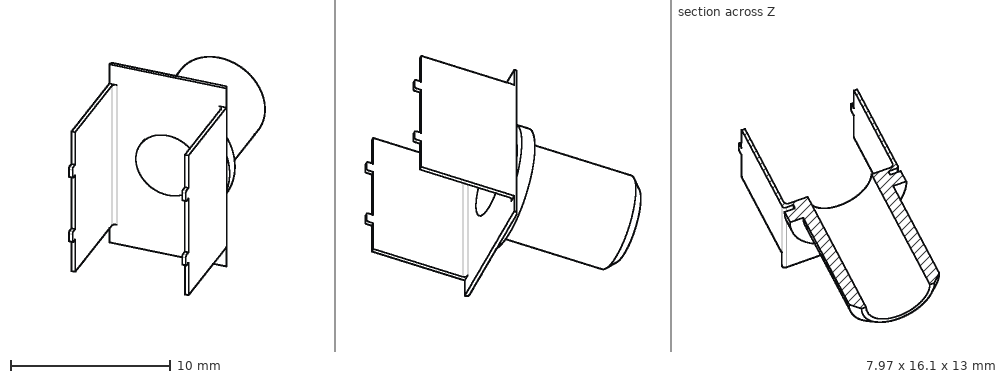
import cadquery as cq

bore_diameter = 4.34
barrel_diameter = 6.18
barrel_length = 7.87
tip_chamfer = 0.6
flange_diameter = 7.97
flange_thickness = 0.9
neck_diameter = 6.53
neck_length = 0.25

sheet_thickness = 0.25
bracket_width = 7.92
plate_height = 13.0
leg_height = 10.2
leg_length = 6.35
outer_bend_radius = 0.2
inner_bend_radius = 0.25

tab_height = 0.77
tab_length = 0.45
tab_corner_radius = 0.13
tab_spacing = 4.7

half_width = bracket_width / 2


def cylinder_along_y(diameter, start_y, length):
    """Cylinder on the part axis, running from start_y towards +Y."""
    profile = cq.Workplane("XZ", origin=(0, start_y, 0)).circle(diameter / 2)
    return profile.extrude(-length)


def make_body():
    """Neck, flange and barrel with a chamfered tip."""
    flange_start = sheet_thickness + neck_length
    barrel_start = flange_start + flange_thickness
    neck = cylinder_along_y(neck_diameter, sheet_thickness, neck_length)
    flange = cylinder_along_y(flange_diameter, flange_start, flange_thickness)
    barrel = cylinder_along_y(barrel_diameter, barrel_start, barrel_length)
    barrel = barrel.faces(">Y").chamfer(tip_chamfer)
    return neck.union(flange).union(barrel)


def make_plate():
    """Flat plate whose two upright front edges are rounded over."""
    plate = cq.Workplane("XY").box(
        bracket_width, sheet_thickness, plate_height, centered=(True, False, True)
    )
    return plate.edges("|Z and >Y").fillet(outer_bend_radius)


def make_leg():
    """Leg on the +X side, with the inner bend fillet against the plate."""
    inner_x = half_width - sheet_thickness
    return (
        cq.Workplane("XY", origin=(0, 0, -leg_height / 2))
        .moveTo(half_width, 0)
        .lineTo(half_width, -leg_length)
        .lineTo(inner_x, -leg_length)
        .lineTo(inner_x, -inner_bend_radius)
        .radiusArc((inner_x - inner_bend_radius, 0), -inner_bend_radius)
        .close()
        .extrude(leg_height)
    )


def make_tab(center_z):
    """Solder tab of the +X leg, with rounded free corners."""
    tab = cq.Workplane("XY").box(sheet_thickness, tab_length, tab_height)
    tab = tab.edges("|X and <Y").fillet(tab_corner_radius)
    center_x = half_width - sheet_thickness / 2
    return tab.translate((center_x, -leg_length - tab_length / 2, center_z))


def make_bracket():
    """Plate with two mirrored legs and their solder tabs."""
    leg = make_leg()
    for side in (-1, 1):
        leg = leg.union(make_tab(side * tab_spacing / 2))
    return make_plate().union(leg).union(leg.mirror("YZ"))


body_length = sheet_thickness + neck_length + flange_thickness + barrel_length
bore = cylinder_along_y(bore_diameter, 0, body_length)
result = make_bracket().union(make_body()).cut(bore)